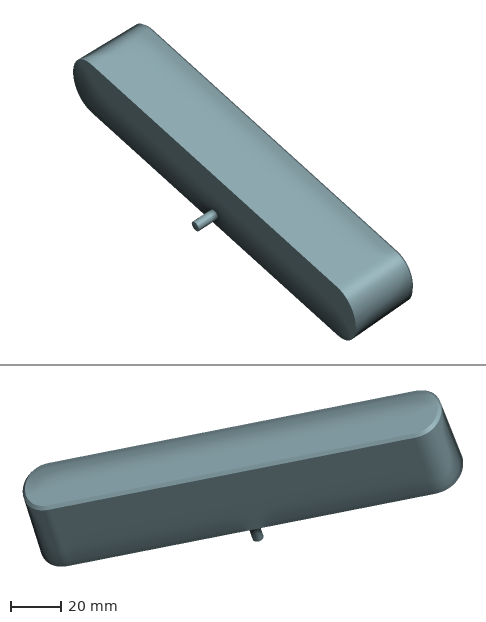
import cadquery as cq

straight_length = 151.1
body_depth = 31.6
front_length = 174.7
front_height = 29.7
back_length = 173.0
back_height = 27.6
back_chamfer = 1.2

pin_diameter = 4.5
pin_length = 10.0
pin_center_z = -8.9

handle_per_bulge = 4 / 3


def bar_outline(length, height, y):
    """Closed wire at depth y: flat top and bottom, smooth curved ends."""
    half_straight = straight_length / 2
    half_height = height / 2
    bulge = (length - straight_length) / 2
    handle_x = half_straight + bulge * handle_per_bulge
    right_end = [
        (half_straight, half_height),
        (handle_x, half_height),
        (handle_x, -half_height),
        (half_straight, -half_height),
    ]
    left_end = [(-x, -z) for x, z in right_end]
    sketch = (
        cq.Workplane("XZ", origin=(0, y, 0))
        .moveTo(-half_straight, half_height)
        .lineTo(half_straight, half_height)
        .bezier(right_end)
        .lineTo(-half_straight, -half_height)
        .bezier(left_end)
        .wire()
    )
    return sketch.val()


def tapered_body():
    front = bar_outline(front_length, front_height, 0)
    back = bar_outline(back_length, back_height, body_depth)
    body = cq.Workplane(cq.Solid.makeLoft([front, back], True))
    return body.faces(">Y").edges().chamfer(back_chamfer)


def front_pin():
    return (
        cq.Workplane("XZ", origin=(0, 0, pin_center_z))
        .circle(pin_diameter / 2)
        .extrude(pin_length)
    )


result = tapered_body().union(front_pin())